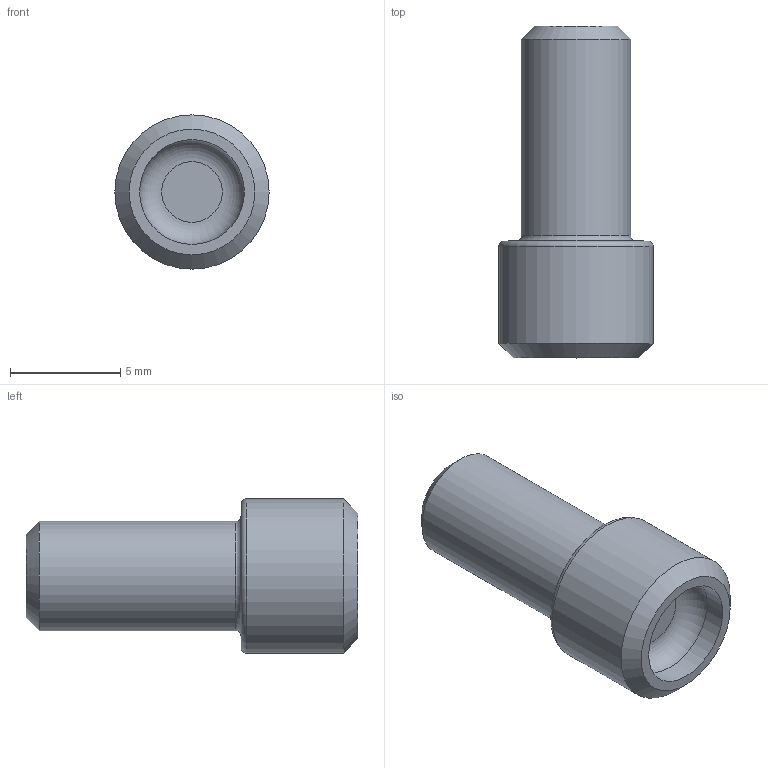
import cadquery as cq

total_length = 15.05
head_diameter = 7.0
head_length = 5.3
shank_diameter = 4.95

head_chamfer = 0.65
head_back_fillet = 0.25
neck_fillet = 0.25
tip_chamfer = 0.6

socket_diameter = 4.75
socket_depth = 2.0
socket_floor_fillet = 1.0

head_face_y = 0.0
head_back_y = head_face_y + head_length
tip_y = head_face_y + total_length


def cylinder_along_y(diameter, start_y, end_y):
    """Solid cylinder on the Y axis between two Y positions."""
    start_plane = cq.Plane(origin=(0, start_y, 0), xDir=(1, 0, 0), normal=(0, 1, 0))
    return cq.Workplane(start_plane).circle(diameter / 2).extrude(end_y - start_y)


def make_head():
    """Head with a chamfered open face and a rounded back edge."""
    head = cylinder_along_y(head_diameter, head_face_y, head_back_y)
    head = head.faces("<Y").edges().chamfer(head_chamfer)
    return head.faces(">Y").edges().fillet(head_back_fillet)


def make_shank():
    """Shank with a chamfered tip."""
    shank = cylinder_along_y(shank_diameter, head_back_y, tip_y)
    return shank.faces(">Y").edges().chamfer(tip_chamfer)


def fillet_neck(body):
    """Round the inner corner where the shank meets the back of the head."""
    reach = shank_diameter / 2 + neck_fillet
    corner = cq.selectors.BoxSelector(
        (-reach, head_back_y - neck_fillet, -reach),
        (reach, head_back_y + neck_fillet, reach),
        boundingbox=True,
    )
    return body.edges(corner).fillet(neck_fillet)


def make_socket():
    """Cutting tool for the socket, with a rounded floor edge."""
    socket = cylinder_along_y(socket_diameter, head_face_y, head_face_y + socket_depth)
    return socket.faces(">Y").edges().fillet(socket_floor_fillet)


body = make_head().union(make_shank())
body = fillet_neck(body)
result = body.cut(make_socket())